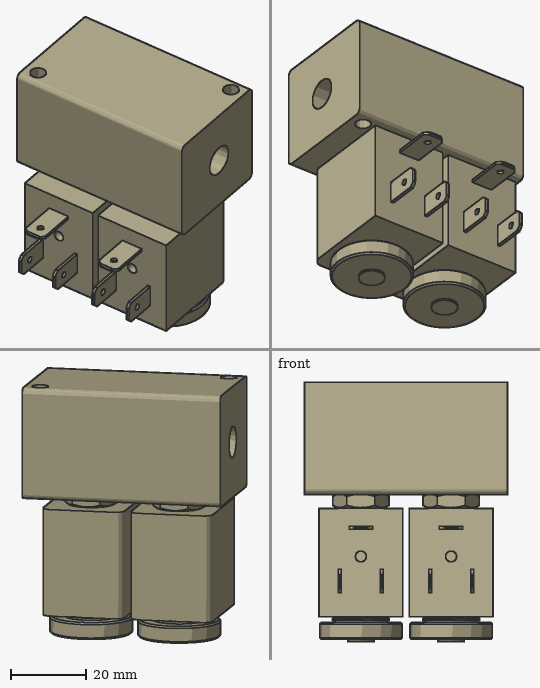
import cadquery as cq
import math

BLOCK_LENGTH = 54.0
BLOCK_DEPTH = 32.0
BLOCK_HEIGHT = 30.0
BLOCK_EDGE_RADIUS = 1.5
TOTAL_HEIGHT = 69.0
BLOCK_BOTTOM = TOTAL_HEIGHT - BLOCK_HEIGHT
PORT_DIAMETER = 8.5
PORT_Y = 1.0
MOUNT_HOLE_DIAMETER = 4.3
MOUNT_HOLE_X = 23.0
MOUNT_HOLE_Y = 12.0

UNIT_PITCH = 24.0
UNIT_CENTERS = [-UNIT_PITCH / 2, UNIT_PITCH / 2]
UNIT_AXIS_Y = -1.0

COIL_WIDTH = 22.3
COIL_DEPTH = 28.0
COIL_FRONT_Y = -17.8
COIL_TOP = 35.4
COIL_BOTTOM = 6.55
COIL_BACK_RADIUS = 2.6
SCREW_HOLE_DIAMETER = 2.9
SCREW_HOLE_DEPTH = 5.5
SCREW_HOLE_Z = 22.6

BLADE_WIDTH = 6.3
BLADE_THICKNESS = 0.8
BLADE_CORNER = 1.5
BLADE_HOLE_DIAMETER = 1.7
BLADE_TIP_LENGTH = 0.55
BLADE_TIP_THICKNESS = 0.35
LONG_BLADE_LENGTH = 12.1
LONG_BLADE_HOLE_FROM_TIP = 3.7
LONG_BLADE_Z = 30.2
SHORT_BLADE_LENGTH = 10.3
SHORT_BLADE_HOLE_FROM_TIP = 4.3
SHORT_BLADE_Z = 16.1
SHORT_BLADE_OFFSET = 5.6

STEM_DIAMETER = 7.05
HEX_ACROSS_FLATS = 13.0
HEX_ACROSS_CORNERS = HEX_ACROSS_FLATS / math.cos(math.pi / 6)
HEX_TOP_FACE_DIAMETER = 13.65
HEX_BOTTOM_FACE_DIAMETER = 12.15
HEX_CHAMFER_SLOPE = math.tan(math.pi / 6)
WASHER_DIAMETER = 15.2
WASHER_BOTTOM = 5.6
WASHER_THICKNESS = 0.4
WASHER_RISE = COIL_BOTTOM - WASHER_BOTTOM - WASHER_THICKNESS
WASHER_BEND_ANGLE = 16.0
NUT_COLLAR_DIAMETER = 14.35
NUT_COLLAR_TOP = 5.65
NUT_DIAMETER = 22.0
NUT_TOP = 5.1
NUT_BOTTOM = 0.55
NUT_CHAMFER = 0.5


def make_block():
    block = cq.Workplane("XY").box(BLOCK_LENGTH, BLOCK_DEPTH, BLOCK_HEIGHT)
    block = block.translate((0, 0, BLOCK_BOTTOM + BLOCK_HEIGHT / 2))
    block = block.edges("|X").fillet(BLOCK_EDGE_RADIUS)
    port = (
        cq.Workplane("YZ", origin=(0, PORT_Y, BLOCK_BOTTOM + BLOCK_HEIGHT / 2))
        .circle(PORT_DIAMETER / 2)
        .extrude(BLOCK_LENGTH / 2, both=True)
    )
    mount_holes = (
        cq.Workplane("XY", origin=(0, 0, BLOCK_BOTTOM))
        .pushPoints([(MOUNT_HOLE_X, MOUNT_HOLE_Y), (-MOUNT_HOLE_X, -MOUNT_HOLE_Y)])
        .circle(MOUNT_HOLE_DIAMETER / 2)
        .extrude(BLOCK_HEIGHT)
    )
    return block.cut(port).cut(mount_holes)


def make_blade(length, hole_from_tip):
    """Horizontal terminal that starts at Y = 0 and points along -Y."""
    half_width = BLADE_WIDTH / 2
    half_tip_width = half_width - BLADE_CORNER
    outline = (
        cq.Workplane("XY")
        .moveTo(-half_width, 0)
        .lineTo(-half_width, BLADE_CORNER - length)
        .lineTo(-half_tip_width, -length)
        .lineTo(half_tip_width, -length)
        .lineTo(half_width, BLADE_CORNER - length)
        .lineTo(half_width, 0)
        .close()
        .extrude(BLADE_THICKNESS / 2, both=True)
    )
    half_thickness = BLADE_THICKNESS / 2
    half_tip = BLADE_TIP_THICKNESS / 2
    side_profile = (
        cq.Workplane("YZ")
        .moveTo(0, -half_thickness)
        .lineTo(BLADE_TIP_LENGTH - length, -half_thickness)
        .lineTo(-length, -half_tip)
        .lineTo(-length, half_tip)
        .lineTo(BLADE_TIP_LENGTH - length, half_thickness)
        .lineTo(0, half_thickness)
        .close()
        .extrude(half_width, both=True)
    )
    hole = (
        cq.Workplane("XY")
        .center(0, hole_from_tip - length)
        .circle(BLADE_HOLE_DIAMETER / 2)
        .extrude(half_thickness, both=True)
    )
    return outline.intersect(side_profile).cut(hole)


def make_coil(center_x):
    center_y = COIL_FRONT_Y + COIL_DEPTH / 2
    coil = (
        cq.Workplane("XY", origin=(center_x, center_y, COIL_BOTTOM))
        .rect(COIL_WIDTH, COIL_DEPTH)
        .extrude(COIL_TOP - COIL_BOTTOM)
        .edges("|Z and >Y")
        .fillet(COIL_BACK_RADIUS)
    )
    stem_bore = (
        cq.Workplane("XY", origin=(center_x, UNIT_AXIS_Y, COIL_BOTTOM))
        .circle(STEM_DIAMETER / 2)
        .extrude(COIL_TOP - COIL_BOTTOM)
    )
    screw_hole = (
        cq.Workplane("XZ", origin=(center_x, COIL_FRONT_Y, SCREW_HOLE_Z))
        .circle(SCREW_HOLE_DIAMETER / 2)
        .extrude(-SCREW_HOLE_DEPTH)
    )
    coil = coil.cut(stem_bore).cut(screw_hole)

    long_blade = make_blade(LONG_BLADE_LENGTH, LONG_BLADE_HOLE_FROM_TIP)
    coil = coil.union(long_blade.translate((center_x, COIL_FRONT_Y, LONG_BLADE_Z)))
    short_blade = make_blade(SHORT_BLADE_LENGTH, SHORT_BLADE_HOLE_FROM_TIP)
    upright_blade = short_blade.rotate((0, 0, 0), (0, 1, 0), 90)
    for offset in (-SHORT_BLADE_OFFSET, SHORT_BLADE_OFFSET):
        coil = coil.union(upright_blade.translate((center_x + offset, COIL_FRONT_Y, SHORT_BLADE_Z)))
    return coil


def make_hexagon():
    """Hexagon on the Z axis, chamfered at both ends, from the coil to the block."""
    hexagon = (
        cq.Workplane("XY", origin=(0, 0, COIL_TOP))
        .polygon(6, HEX_ACROSS_CORNERS)
        .extrude(BLOCK_BOTTOM - COIL_TOP)
    )
    corner_radius = HEX_ACROSS_CORNERS / 2
    bottom_radius = HEX_BOTTOM_FACE_DIAMETER / 2
    top_radius = HEX_TOP_FACE_DIAMETER / 2
    bottom_chamfer = (corner_radius - bottom_radius) * HEX_CHAMFER_SLOPE
    top_chamfer = (corner_radius - top_radius) * HEX_CHAMFER_SLOPE
    chamfer_envelope = (
        cq.Workplane("XZ")
        .moveTo(0, COIL_TOP)
        .lineTo(bottom_radius, COIL_TOP)
        .lineTo(corner_radius, COIL_TOP + bottom_chamfer)
        .lineTo(corner_radius, BLOCK_BOTTOM - top_chamfer)
        .lineTo(top_radius, BLOCK_BOTTOM)
        .lineTo(0, BLOCK_BOTTOM)
        .close()
        .revolve(360, (0, 0, 0), (0, 1, 0))
    )
    return hexagon.intersect(chamfer_envelope)


def make_washer():
    """Disc bent about a level line: lowest along that line, with two raised sides that touch the coil."""
    radius = WASHER_DIAMETER / 2
    side_bottom = WASHER_BOTTOM + WASHER_RISE
    bent_sheet = (
        cq.Workplane("YZ")
        .moveTo(-radius, side_bottom)
        .threePointArc((0, WASHER_BOTTOM), (radius, side_bottom))
        .lineTo(radius, COIL_BOTTOM)
        .threePointArc((0, WASHER_BOTTOM + WASHER_THICKNESS), (-radius, COIL_BOTTOM))
        .close()
        .extrude(radius, both=True)
    )
    disc = cq.Workplane("XY").circle(radius).extrude(COIL_BOTTOM)
    return bent_sheet.intersect(disc).rotate((0, 0, 0), (0, 0, 1), WASHER_BEND_ANGLE)


def make_operator(center_x):
    """Hexagon, stem, nut, collar and washer as one solid; the washer sinks slightly into the collar."""
    stem = cq.Workplane("XY").circle(STEM_DIAMETER / 2).extrude(COIL_TOP)
    nut = (
        cq.Workplane("XY", origin=(0, 0, NUT_BOTTOM))
        .circle(NUT_DIAMETER / 2)
        .extrude(NUT_TOP - NUT_BOTTOM)
        .faces("<Z or >Z")
        .edges()
        .chamfer(NUT_CHAMFER)
    )
    collar = (
        cq.Workplane("XY", origin=(0, 0, NUT_TOP))
        .circle(NUT_COLLAR_DIAMETER / 2)
        .extrude(NUT_COLLAR_TOP - NUT_TOP)
    )
    operator = make_hexagon().union(stem).union(nut).union(collar).union(make_washer())
    return operator.translate((center_x, UNIT_AXIS_Y, 0))


block = make_block()
coils = [make_coil(center_x) for center_x in UNIT_CENTERS]
operators = [make_operator(center_x) for center_x in UNIT_CENTERS]

result = cq.Compound.makeCompound([body.val() for body in [block, *coils, *operators]])